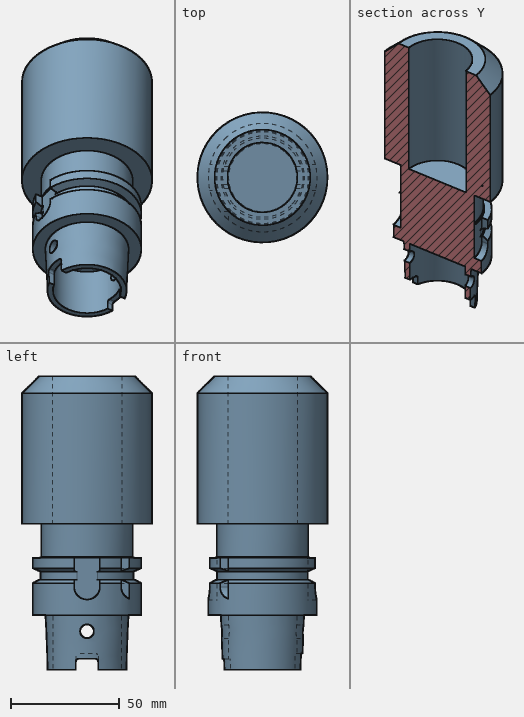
import cadquery as cq

total_height = 135.0
sleeve_radius = 30.0
sleeve_bottom = 67.1
top_face_radius = 22.0
top_chamfer_height = 7.8
bore_radius = 16.0
bore_depth = total_height - sleeve_bottom

neck_radius = 21.0
neck_bottom = 52.0
flange_radius = 25.0
flange_top = 51.5
neck_foot_radius = 21.6
flange_rim_bottom = 46.7
groove_radius = 21.5
groove_ledge_radius = 22.0
groove_top = 45.1
groove_bottom = 41.5
collar_rim_top = 39.8
collar_bottom = 25.1

taper_top_radius = 19.2
taper_bottom_radius = 18.2
shank_bore_radius = 15.7
shank_bore_depth = collar_bottom
cross_hole_radius = 3.1
cross_hole_height = 17.7
end_slot_width = 10.1
end_slot_corner = 1.2
left_end_slot_height = 5.0
right_end_slot_height = 7.5

keyway_radius = 6.0
keyway_end_height = 38.2
keyway_floor = 20.9
notch_corner = 15.7


def revolved_body():
    """Sleeve, neck, grooved flange and taper in one revolution about Z."""
    profile = [
        (0, 0),
        (taper_bottom_radius, 0),
        (taper_top_radius, collar_bottom),
        (flange_radius, collar_bottom),
        (flange_radius, collar_rim_top),
        (groove_ledge_radius, groove_bottom),
        (groove_radius, groove_bottom),
        (groove_radius, groove_top),
        (flange_radius, flange_rim_bottom),
        (flange_radius, flange_top),
        (neck_foot_radius, flange_top),
        (neck_radius, neck_bottom),
        (neck_radius, sleeve_bottom),
        (sleeve_radius, sleeve_bottom),
        (sleeve_radius, total_height - top_chamfer_height),
        (top_face_radius, total_height),
        (0, total_height),
    ]
    return cq.Workplane("XZ").polyline(profile).close().revolve(360, (0, 0), (0, 1))


def keyway(center_y, floor):
    """Round-ended vertical keyway cut inward from the -X side down to x = -floor."""
    depth = sleeve_radius - floor
    return (
        cq.Workplane("YZ", origin=(-sleeve_radius, center_y, 0))
        .moveTo(-keyway_radius, flange_top)
        .lineTo(-keyway_radius, keyway_end_height)
        .threePointArc((0, keyway_end_height - keyway_radius), (keyway_radius, keyway_end_height))
        .lineTo(keyway_radius, flange_top)
        .close()
        .extrude(depth)
    )


def end_slot(side, height):
    """Driving slot in the taper's lower end, from the axis out to one X side."""
    return (
        cq.Workplane("XY")
        .box(taper_top_radius, end_slot_width, height, centered=(True, True, False))
        .edges("|X and >Z")
        .fillet(end_slot_corner)
        .translate((side * taper_top_radius / 2, 0, 0))
    )


top_bore = cq.Workplane("XY", origin=(0, 0, total_height)).circle(bore_radius).extrude(-bore_depth)
shank_bore = cq.Workplane("XY").circle(shank_bore_radius).extrude(shank_bore_depth)
cross_hole = (
    cq.Workplane("YZ", origin=(0, 0, cross_hole_height))
    .circle(cross_hole_radius)
    .extrude(flange_radius, both=True)
)
side_keyway = keyway(0, keyway_floor)
opposite_keyway = side_keyway.mirror("YZ")
diagonal_notch = keyway(-notch_corner - keyway_radius, notch_corner)

result = (
    revolved_body()
    .cut(top_bore)
    .cut(shank_bore)
    .cut(cross_hole)
    .cut(end_slot(-1, left_end_slot_height))
    .cut(end_slot(1, right_end_slot_height))
    .cut(side_keyway)
    .cut(opposite_keyway)
    .cut(diagonal_notch)
)